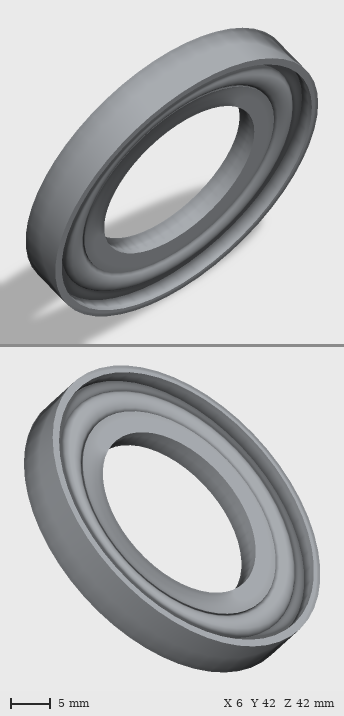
import cadquery as cq

outer_diameter = 42.0
total_width = 6.0

rim_bore = 40.0
web_bore = 35.6
web_width = 2.0

inner_bore = 24.0
inner_diameter = 30.3
inner_width = 3.0

seal_center_radius = 16.75
seal_section = 4.0


def make_tube(outer, inner, width):
    """Plain tube along X, centred on the origin."""
    plane = cq.Workplane("YZ", origin=(-width / 2, 0, 0))
    return plane.circle(outer / 2).circle(inner / 2).extrude(width)


def make_seal():
    """Ring of circular section around X."""
    section = cq.Workplane("XY").center(0, seal_center_radius).circle(seal_section / 2)
    return section.revolve(360, (0, -seal_center_radius), (1, -seal_center_radius))


def make_outer_ring():
    """Rim and central web, with a groove that seats the outside of the seal."""
    rim = make_tube(outer_diameter, rim_bore, total_width)
    web = make_tube(rim_bore, web_bore, web_width)
    return rim.union(web).cut(make_seal())


def make_inner_ring():
    """Inner ring with a shallow groove around its outside that seats the seal."""
    tube = make_tube(inner_diameter, inner_bore, inner_width)
    return tube.cut(make_seal())


outer_ring = make_outer_ring()
seal = make_seal()
inner_ring = make_inner_ring()

result = cq.Compound.makeCompound([outer_ring.val(), seal.val(), inner_ring.val()])